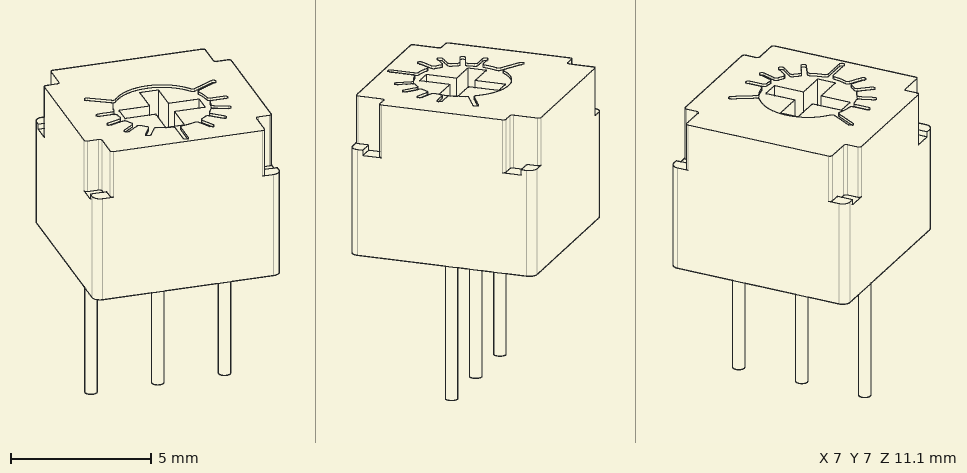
import cadquery as cq
import math


HOUSING_WIDTH = 7.0
HOUSING_HEIGHT = 5.8
OVERALL_HEIGHT = 11.15
CORNER_RADIUS = 0.3

NOTCH_LENGTH_X = 1.11
NOTCH_LENGTH_Y = 0.61
NOTCH_DEPTH = 2.0
NOTCH_EDGE_RADIUS = 0.1
LEDGE_LENGTH = 0.5
LEDGE_HEIGHT = 0.2

DIAL_X = 0.5
DIAL_RADIUS = 1.75
DIAL_DEPTH = 0.1
MARK_WIDTH = 0.2
SHORT_MARK_REACH = 2.46
LONG_MARK_REACH = 2.83
SHORT_MARK_ANGLES = [30, 50, 70, 90]
END_MARK_ANGLE = 120
MARK_ROOT_RADIUS = 0.1
SOCKET_LENGTH = 3.0
SOCKET_WIDTH = 0.7
SOCKET_DEPTH = 1.5

PIN_DIAMETER = 0.45
PIN_PITCH = 2.5
PIN_LENGTH = OVERALL_HEIGHT - HOUSING_HEIGHT


def upright_box(length_x, length_y, height):
    """Box standing on the XY plane, centred on the Z axis."""
    return cq.Workplane("XY").box(length_x, length_y, height, centered=(True, True, False))


def make_shell():
    """Rounded block whose upper part is notched at the four corners."""
    notch_floor = HOUSING_HEIGHT - NOTCH_DEPTH
    inner_length_x = HOUSING_WIDTH - 2 * NOTCH_LENGTH_X
    inner_length_y = HOUSING_WIDTH - 2 * NOTCH_LENGTH_Y

    base = upright_box(HOUSING_WIDTH, HOUSING_WIDTH, notch_floor + LEDGE_HEIGHT)
    base = base.edges("|Z").fillet(CORNER_RADIUS)
    between_ledges = upright_box(HOUSING_WIDTH - 2 * LEDGE_LENGTH, HOUSING_WIDTH, LEDGE_HEIGHT)
    base = base.cut(between_ledges.translate((0, 0, notch_floor)))

    upper = upright_box(HOUSING_WIDTH, inner_length_y, NOTCH_DEPTH)
    upper = upper.union(upright_box(inner_length_x, HOUSING_WIDTH, NOTCH_DEPTH))
    upper = upper.edges("|Z").fillet(NOTCH_EDGE_RADIUS)
    return base.union(upper.translate((0, 0, notch_floor)))


def make_mark(angle, reach):
    """Round-ended bar from the dial centre out to the given reach."""
    bar = cq.Workplane("XY").center(reach / 2, 0).slot2D(reach, MARK_WIDTH).extrude(DIAL_DEPTH)
    return bar.rotate((0, 0, 0), (0, 0, 1), angle)


def is_mark_root(edge):
    """True for an upright edge where a mark meets the rim of the dial."""
    centre = edge.Center()
    return math.isclose(math.hypot(centre.x, centre.y), DIAL_RADIUS, rel_tol=1e-3)


def make_dial_cutter():
    """Disc and scale marks, centred on the Z axis and standing on the XY plane."""
    dial = cq.Workplane("XY").circle(DIAL_RADIUS).extrude(DIAL_DEPTH)
    dial = dial.union(make_mark(0, LONG_MARK_REACH))
    for side in (1, -1):
        dial = dial.union(make_mark(side * END_MARK_ANGLE, LONG_MARK_REACH))
        for angle in SHORT_MARK_ANGLES:
            dial = dial.union(make_mark(side * angle, SHORT_MARK_REACH))
    return dial.edges("|Z").filter(is_mark_root).fillet(MARK_ROOT_RADIUS)


def make_socket_cutter():
    """Cross-shaped driver socket standing on the XY plane."""
    slot_x = upright_box(SOCKET_LENGTH, SOCKET_WIDTH, SOCKET_DEPTH)
    slot_y = upright_box(SOCKET_WIDTH, SOCKET_LENGTH, SOCKET_DEPTH)
    return slot_x.union(slot_y)


def make_housing():
    """Notched block with the dial recess and the socket cut into its top."""
    dial_floor = HOUSING_HEIGHT - DIAL_DEPTH
    shell = make_shell()
    shell = shell.cut(make_dial_cutter().translate((DIAL_X, 0, dial_floor)))
    return shell.cut(make_socket_cutter().translate((DIAL_X, 0, dial_floor - SOCKET_DEPTH)))


def make_pin(y):
    """Round pin hanging from the bottom face of the housing."""
    return cq.Workplane("XY").center(0, y).circle(PIN_DIAMETER / 2).extrude(-PIN_LENGTH)


housing = make_housing()
pins = [make_pin(row * PIN_PITCH) for row in (-1, 0, 1)]

result = cq.Compound.makeCompound([housing.val(), *[pin.val() for pin in pins]])